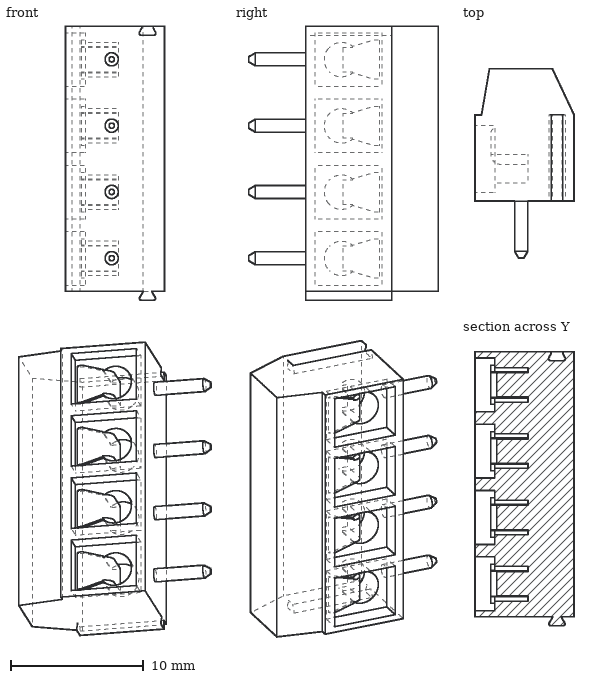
import cadquery as cq

pole_count = 4
pitch = 5.0
housing_width = 7.5
housing_depth = 10.0
housing_height = pole_count * pitch
shoulder_y = 6.5
shoulder_ledge = 0.5
top_start_x = 1.1
top_end_x = 5.85

pin_x = 3.5
pin_diameter = 1.0
pin_tip_diameter = 0.4
pin_length = 4.3
pin_tip_length = 0.5

pocket_depth = 1.5
pocket_start_y = 0.68
pocket_end_y = 5.72
pocket_height = 4.05

wire_hole_y = 2.68
wire_hole_diameter = 2.6
wire_hole_depth = 2.5

guard_rise = 0.3
guard_end_y = 5.58
guard_wide_bend_radius = 0.45
guard_narrow_bend_radius = 0.73
guard_tongue_y = 2.79
guard_wide_height = 2.96
guard_neck_height = 2.0
guard_tongue_height = 1.86

dovetail_x = 6.2
dovetail_depth = 0.68
dovetail_foot_width = 1.44
tenon_neck_width = 0.64
groove_neck_width = 0.74
dovetail_foot_radius = 0.15
groove_lip_radius = 0.08
tenon_root_radius = 0.04

pocket_floor_x = pocket_depth
wire_hole_floor_x = pocket_floor_x + wire_hole_depth
guard_face_x = pocket_floor_x - guard_rise
pole_heights = [pitch * (index + 0.5) for index in range(pole_count)]


def make_housing():
    """Housing outline in XY, extruded over all poles."""
    outline = [
        (0, 0),
        (housing_width, 0),
        (housing_width, shoulder_y),
        (top_end_x, housing_depth),
        (top_start_x, housing_depth),
        (shoulder_ledge, shoulder_y),
        (0, shoulder_y),
    ]
    return cq.Workplane("XY").polyline(outline).close().extrude(housing_height)


def make_dovetail(neck_width, top_z):
    """Dovetail bar hanging below top_z, its foot edges rounded."""
    half_neck = neck_width / 2
    half_foot = dovetail_foot_width / 2
    outline = [
        (dovetail_x - half_neck, top_z),
        (dovetail_x + half_neck, top_z),
        (dovetail_x + half_foot, top_z - dovetail_depth),
        (dovetail_x - half_foot, top_z - dovetail_depth),
    ]
    bar = cq.Workplane("XZ").polyline(outline).close().extrude(-shoulder_y)
    return bar.faces("<Z").edges("|Y").fillet(dovetail_foot_radius)


def round_neck(body, face_z, radius):
    """Round the two long edges where a dovetail neck meets the end face at face_z."""
    neck_box = cq.selectors.BoxSelector(
        (dovetail_x - dovetail_foot_width / 2, 0, face_z - radius),
        (dovetail_x + dovetail_foot_width / 2, shoulder_y, face_z + radius),
    )
    return body.edges("|Y").edges(neck_box).fillet(radius)


def add_dovetails(body):
    """Dovetail groove in the top end face and matching tenon below the bottom end face."""
    grooved = body.cut(make_dovetail(groove_neck_width, housing_height))
    grooved = round_neck(grooved, housing_height, groove_lip_radius)
    joined = grooved.union(make_dovetail(tenon_neck_width, 0))
    return round_neck(joined, 0, tenon_root_radius)


def make_entry(center_z):
    """Pocket and round wire hole of one pole, as a cutting body."""
    pocket = cq.Workplane("XY").box(
        pocket_depth, pocket_end_y - pocket_start_y, pocket_height, centered=(False, False, True)
    )
    pocket = pocket.translate((0, pocket_start_y, center_z))
    hole = (
        cq.Workplane("YZ")
        .center(wire_hole_y, center_z)
        .circle(wire_hole_diameter / 2)
        .extrude(wire_hole_floor_x)
    )
    return pocket.union(hole)


def make_guard(center_z):
    """Wire guard of one pole: tapered plate plus a narrow tongue curving into the wire hole."""
    plate_end_y = guard_end_y - guard_wide_bend_radius
    plate_start_y = guard_tongue_y + guard_narrow_bend_radius
    thickness = wire_hole_floor_x - guard_face_x
    half_wide = guard_wide_height / 2
    half_neck = guard_neck_height / 2
    plate_outline = [
        (plate_start_y, -half_neck),
        (plate_end_y, -half_wide),
        (guard_end_y, -half_wide),
        (guard_end_y, half_wide),
        (plate_end_y, half_wide),
        (plate_start_y, half_neck),
    ]
    plate = cq.Workplane("YZ").polyline(plate_outline).close().extrude(thickness)
    plate = plate.faces(">Y").edges("<X").fillet(guard_wide_bend_radius)
    tongue = cq.Workplane("XY").box(
        thickness, plate_end_y - guard_tongue_y, guard_tongue_height, centered=(False, False, True)
    )
    tongue = tongue.translate((0, guard_tongue_y, 0))
    tongue = tongue.faces("<Y").edges("<X").fillet(guard_narrow_bend_radius)
    return plate.union(tongue).translate((guard_face_x, 0, center_z))


def make_pin(center_z):
    """Round solder pin with a conical tip, pointing along -Y."""
    tip_taper = (pin_diameter - pin_tip_diameter) / 2
    pin = (
        cq.Workplane("XZ")
        .center(pin_x, center_z)
        .circle(pin_diameter / 2)
        .extrude(pin_length)
    )
    return pin.faces("<Y").chamfer(pin_tip_length, tip_taper)


result = add_dovetails(make_housing())
for pole_z in pole_heights:
    result = result.cut(make_entry(pole_z))
    result = result.union(make_guard(pole_z))
    result = result.union(make_pin(pole_z))